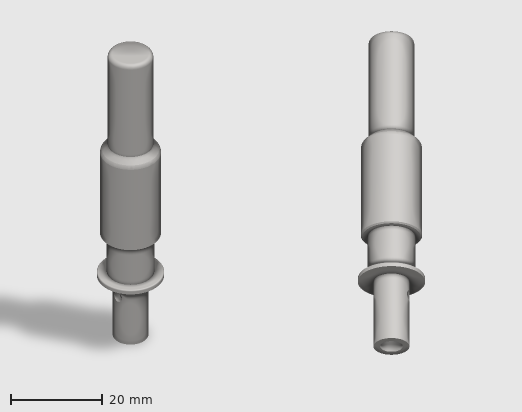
import cadquery as cq

total_length = 75.9

tail_diameter = 7.9
tail_length = 16.0
bore_diameter = 5.0
bore_depth = 15.0
inspection_hole_diameter = 2.6
inspection_hole_height = 12.1

flange_diameter = 14.8
flange_thickness = 1.1
flange_fillet = 0.3

neck_diameter = 10.5
body_diameter = 13.4
body_bottom = 27.2
body_bottom_chamfer = 0.3
rod_diameter = 10.0
shoulder_top = 51.4
shoulder_fillet = 1.3
rod_tip_fillet = 1.0

shoulder_height = (body_diameter - rod_diameter) / 2
overlap = 0.4


def cylinder(diameter, bottom, top):
    """Solid cylinder on the Z axis between two heights."""
    return cq.Workplane("XY").workplane(offset=bottom).circle(diameter / 2).extrude(top - bottom)


def make_body():
    """Main body with a rounded 45 degree shoulder and a small bottom chamfer."""
    body = cylinder(body_diameter, body_bottom, shoulder_top)
    body = body.faces(">Z").edges().chamfer(shoulder_height)
    shoulder_edge = cq.selectors.BoxSelector(
        (-body_diameter, -body_diameter, shoulder_top - shoulder_height - overlap),
        (body_diameter, body_diameter, shoulder_top - shoulder_height + overlap),
        boundingbox=True,
    )
    body = body.edges(shoulder_edge).fillet(shoulder_fillet)
    return body.faces("<Z").edges().chamfer(body_bottom_chamfer)


def make_flange():
    """Thin flange with a rounded upper rim."""
    flange = cylinder(flange_diameter, tail_length, tail_length + flange_thickness)
    return flange.faces(">Z").edges().fillet(flange_fillet)


def make_rod():
    """Contact rod with a rounded tip."""
    rod = cylinder(rod_diameter, shoulder_top - overlap, total_length)
    return rod.faces(">Z").edges().fillet(rod_tip_fillet)


tail = cylinder(tail_diameter, 0, tail_length + overlap)
neck = cylinder(neck_diameter, tail_length, body_bottom + overlap)
pin = tail.union(make_flange()).union(neck).union(make_body()).union(make_rod())

wire_bore = cylinder(bore_diameter, 0, bore_depth)

inspection_hole = (
    cq.Workplane("XZ")
    .center(0, inspection_hole_height)
    .circle(inspection_hole_diameter / 2)
    .extrude(tail_diameter)
)

result = pin.cut(wire_bore).cut(inspection_hole)